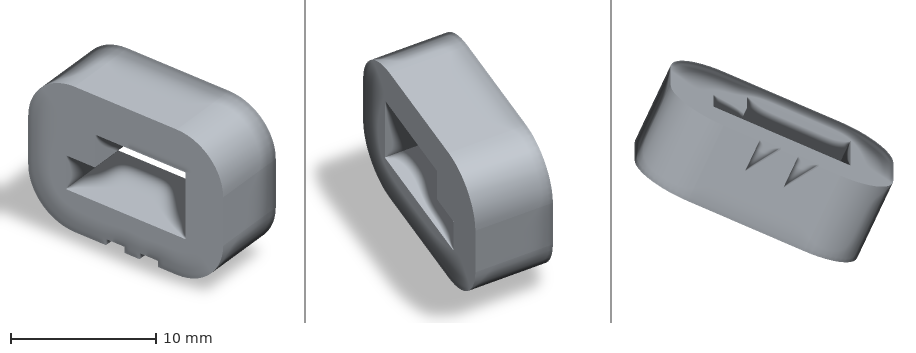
import cadquery as cq

length = 16.8
depth = 6.0
height = 12.0
corner_radius = 4.0

wall = 3.25
step_width = 2.5
window_height = height - 2 * wall
step_height = 2.79

notch_width = 1.58
notch_height = 0.5
notch_depth = 2.42
first_notch_left = -1.7
notch_pitch = 2.89
notch_count = 2


def make_block():
    """Rounded rectangular block extending from Y = 0 to Y = depth."""
    block = cq.Workplane("XZ").rect(length, height).extrude(-depth)
    return block.edges("|Y").fillet(corner_radius)


def make_window():
    """Rectangular window with its upper left corner stepped in."""
    left = -length / 2 + wall
    right = length / 2 - wall
    bottom = -height / 2 + wall
    top = bottom + window_height
    outline = [
        (left, bottom),
        (right, bottom),
        (right, top),
        (left + step_width, top),
        (left + step_width, bottom + step_height),
        (left, bottom + step_height),
    ]
    return cq.Workplane("XZ").polyline(outline).close().extrude(-depth)


def make_notch(left):
    """Triangular wedge, deepest at its left end and fading out to the right."""
    outline = [(left, 0), (left + notch_width, 0), (left, notch_depth)]
    base = cq.Workplane("XY").workplane(offset=-height / 2)
    return base.polyline(outline).close().extrude(notch_height)


result = make_block().cut(make_window())
for index in range(notch_count):
    result = result.cut(make_notch(first_notch_left + index * notch_pitch))